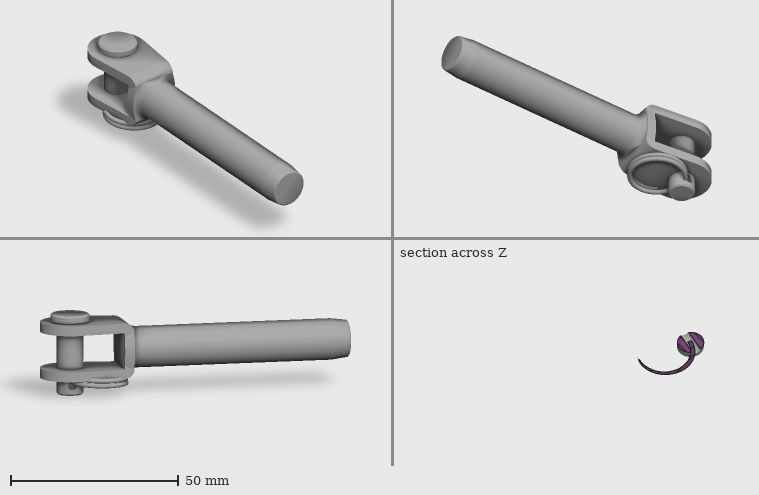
import cadquery as cq
import math

total_length = 94.1

ear_radius = 9.0
pin_x = ear_radius
ear_taper = math.radians(6.5)
fork_height = 16.9
ear_gap = 11.0
gap_end_x = 24.2
bridge_end_x = 27.2
bend_start_x = 24.0
bridge_edge_half_width = 7.1
bridge_mid_half_width = 7.9

shank_radius = 6.2
tip_radius = 5.6
tip_start_x = 89.15
tip_edge_fillet = 0.5
flare_radius = 7.7
flare_end_x = 29.1

pin_diameter = 8.0
pin_radius = pin_diameter / 2
head_radius = 5.9
head_height = 2.45
head_top_chamfer = 0.5
head_bottom_chamfer = 0.3
pin_bottom_z = -13.6
pin_end_chamfer = 0.5
cross_hole_radius = 1.4
cross_hole_drop = 2.0

wire_radius = 0.71
coil_radius = 8.4
coil_x = 17.5
coil_y = -0.61
coil_pitch = 1.5
coil_turns = 1.85
coil_start_drop = 2.6

fork_top_z = fork_height / 2
gap_top_z = ear_gap / 2


def tangent_arc_middle(length, height):
    """Offset to the middle of an arc that starts along its length and ends at height."""
    radius = (length**2 + height**2) / (2 * height)
    half_sweep = math.asin(length / radius) / 2
    return radius * math.sin(half_sweep), radius * (1 - math.cos(half_sweep))


def make_ears():
    """U-shaped side profile limited to the tapered, round-ended plan outline."""
    run, drop = tangent_arc_middle(bridge_end_x - bend_start_x, fork_top_z - shank_radius)
    bend_middle_x = bend_start_x + run
    bend_middle_z = fork_top_z - drop
    side = (
        cq.Workplane("XZ")
        .moveTo(0, -fork_top_z)
        .lineTo(bend_start_x, -fork_top_z)
        .threePointArc((bend_middle_x, -bend_middle_z), (bridge_end_x, -shank_radius))
        .lineTo(bridge_end_x, shank_radius)
        .threePointArc((bend_middle_x, bend_middle_z), (bend_start_x, fork_top_z))
        .lineTo(0, fork_top_z)
        .lineTo(0, gap_top_z)
        .lineTo(gap_end_x, gap_top_z)
        .lineTo(gap_end_x, -gap_top_z)
        .lineTo(0, -gap_top_z)
        .close()
        .extrude(ear_radius, both=True)
    )

    tangent_x = pin_x + ear_radius * math.sin(ear_taper)
    tangent_y = ear_radius * math.cos(ear_taper)
    end_y = tangent_y - (bridge_end_x - tangent_x) * math.tan(ear_taper)
    plan = (
        cq.Workplane("XY", origin=(0, 0, -fork_top_z))
        .moveTo(bridge_end_x, -end_y)
        .lineTo(tangent_x, -tangent_y)
        .threePointArc((pin_x - ear_radius, 0), (tangent_x, tangent_y))
        .lineTo(bridge_end_x, end_y)
        .close()
        .extrude(fork_height)
    )
    return side.intersect(plan)


def make_bridge():
    """Cross wall between the ears, with bulged sides."""
    return (
        cq.Workplane("YZ", origin=(gap_end_x, 0, 0))
        .moveTo(-bridge_edge_half_width, -gap_top_z)
        .lineTo(bridge_edge_half_width, -gap_top_z)
        .threePointArc((bridge_mid_half_width, 0), (bridge_edge_half_width, gap_top_z))
        .lineTo(-bridge_edge_half_width, gap_top_z)
        .threePointArc((-bridge_mid_half_width, 0), (-bridge_edge_half_width, -gap_top_z))
        .close()
        .extrude(bridge_end_x - gap_end_x)
    )


def make_shank():
    rod = (
        cq.Workplane("XY")
        .moveTo(gap_end_x, 0)
        .lineTo(gap_end_x, shank_radius)
        .lineTo(tip_start_x, shank_radius)
        .lineTo(total_length, tip_radius)
        .lineTo(total_length, 0)
        .close()
        .revolve(360, (0, 0, 0), (1, 0, 0))
        .faces(">X")
        .edges()
        .fillet(tip_edge_fillet)
    )
    run, rise = tangent_arc_middle(flare_end_x - bridge_end_x, flare_radius - shank_radius)
    flare_middle = (flare_end_x - run, shank_radius + rise)
    flare = (
        cq.Workplane("XY")
        .moveTo(bridge_end_x, 0)
        .lineTo(flare_end_x, 0)
        .lineTo(flare_end_x, shank_radius)
        .threePointArc(flare_middle, (bridge_end_x, flare_radius))
        .close()
        .revolve(360, (0, 0, 0), (1, 0, 0))
    )
    flare_limit = cq.Workplane("XY").box(2 * total_length, 2 * flare_radius, 2 * shank_radius)
    return rod.union(flare.intersect(flare_limit))


def make_pin():
    head = (
        cq.Workplane("XY", origin=(pin_x, 0, fork_top_z))
        .circle(head_radius)
        .extrude(head_height)
        .faces(">Z")
        .chamfer(head_top_chamfer)
        .faces("<Z")
        .chamfer(head_bottom_chamfer)
    )
    shaft = (
        cq.Workplane("XY", origin=(pin_x, 0, pin_bottom_z))
        .circle(pin_radius)
        .extrude(fork_top_z + head_height / 2 - pin_bottom_z)
        .faces("<Z")
        .chamfer(pin_end_chamfer)
    )
    cross_hole = (
        cq.Workplane("XZ", origin=(pin_x, 0, -fork_top_z - cross_hole_drop))
        .circle(cross_hole_radius)
        .extrude(2 * pin_radius, both=True)
    )
    return head.union(shaft).cut(cross_hole)


def make_split_ring():
    """Coil that starts inside the pin, runs towards +Y and climbs to the fork."""
    path = cq.Wire.makeHelix(coil_pitch, coil_pitch * coil_turns, coil_radius, lefthand=True)
    section = cq.Workplane("XZ", origin=(coil_radius, 0, 0)).circle(wire_radius)
    coil = section.sweep(cq.Workplane(obj=path), isFrenet=True)
    start_z = -fork_top_z - coil_start_drop
    return coil.rotate((0, 0, 0), (0, 0, 1), 180).translate((coil_x, coil_y, start_z))


split_ring = make_split_ring()

pin = make_pin().cut(split_ring)

pin_bore = (
    cq.Workplane("XY", origin=(pin_x, 0, -fork_top_z))
    .circle(pin_radius)
    .extrude(fork_height)
)
fork = make_ears().union(make_bridge()).union(make_shank()).cut(pin_bore).cut(split_ring)

result = cq.Compound.makeCompound([fork.val(), pin.val(), split_ring.val()])